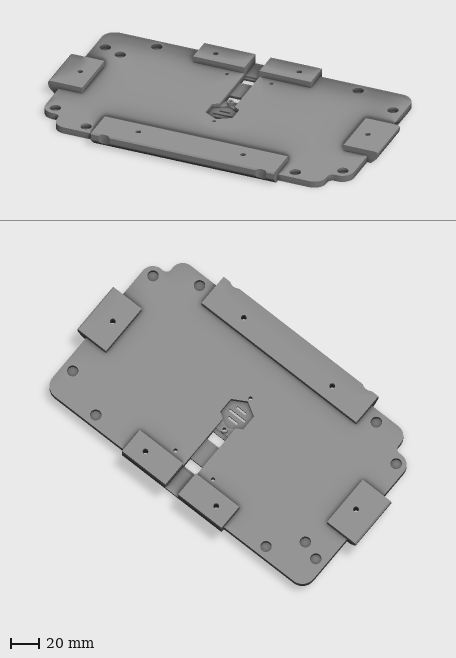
import cadquery as cq

plate_length = 236.0
plate_width = 135.0
plate_thickness = 5.0
back_corner_radius = 10.0
front_corner_radius = 9.0
notch_size = 15.0
notch_inner_radius = 4.0

block_top = 10.0
overall_length = 252.0
side_block_depth = 26.0
side_block_width = 40.0
side_bevel = 5.0
side_bevel_blend = 5.0
front_block_width = 140.0
front_block_depth = 25.0
front_block_overhang = 7.3
front_bevel = 4.0
front_bevel_blend = 3.0
back_block_width = 90.0
back_block_depth = 20.0
back_block_overhang = 2.7
top_chamfer = 1.0

relief_spacing = 120.0
relief_radius = 6.0
relief_depth = 1.6

screw_diameter = 4.0
side_screw_x = 110.0
end_screw_y = 60.0
front_screw_x = 40.0
back_screw_x = 32.0

magnet_diameter = 8.0
magnet_depth = 3.5
magnet_x = 110.0
magnet_y = 45.0
back_magnet_x = 77.0
front_magnet_x = 80.0
end_magnet_y = 60.0
extra_magnet = (-96.5, 40.0)

channel_width = 11.5
end_channel_floor = 2.5
middle_channel_floor = 2.0
ledge_floor = 1.5
back_ledge_y = 51.6
back_window_y = (42.0, 49.4)
front_window_y = (16.6, 23.6)
front_ledge_y = 13.6

hexagon_radius = 12.0
hexagon_y = -3.0
hexagon_floor = 1.5
slot_height = 1.8
slot_pitch = 4.7
short_slot = 8.4
long_slot = 14.4

pilot_diameter = 2.8
pilot_x = 17.0
back_pilot_y = 45.0
front_pilot_y = -18.0
boss_diameter = 5.0
boss_y = 11.3

half_length = plate_length / 2
half_width = plate_width / 2
front_face_y = -half_width - front_block_overhang
back_face_y = half_width + back_block_overhang


def box(x_range, y_range, z_range):
    """Axis-aligned box between pairs of limits."""
    size = [high - low for low, high in (x_range, y_range, z_range)]
    corner = (x_range[0], y_range[0], z_range[0])
    return cq.Workplane("XY").box(*size, centered=False).translate(corner)


def cylinder(diameter, bottom, top, points):
    """Upright cylinders at the given points."""
    plane = cq.Workplane("XY").workplane(offset=bottom)
    return plane.pushPoints(points).circle(diameter / 2).extrude(top - bottom)


def make_plate():
    """Plate with rounded corners and a stepped notch at both front corners."""
    plate = box((-half_length, half_length), (-half_width, half_width), (0, plate_thickness))
    plate = plate.edges("|Z and >Y").fillet(back_corner_radius)
    inner_x = half_length - notch_size
    inner_y = half_width - notch_size
    for side in (-1, 1):
        x_range = sorted((side * inner_x, side * half_length))
        plate = plate.cut(box(x_range, (-half_width, -inner_y), (0, plate_thickness)))
    inner_corners = [(side * inner_x, -inner_y) for side in (-1, 1)]
    outer_corners = [(side * half_length, -inner_y) for side in (-1, 1)]
    outer_corners += [(side * inner_x, -half_width) for side in (-1, 1)]
    for corners, radius in ((inner_corners, notch_inner_radius), (outer_corners, front_corner_radius)):
        for x, y in corners:
            nearest = cq.selectors.NearestToPointSelector((x, y, plate_thickness / 2))
            plate = plate.edges("|Z").edges(nearest).fillet(radius)
    return plate


def bevelled_block(width, depth, overhang, bevel, blend):
    """Block centred on X that laps over the plate rim at Y = 0 and overhangs toward -Y.

    The lower outer edge is bevelled and blended into the outer face,
    and the upper outer edge is chamfered.
    """
    half = width / 2
    block = box((-half, half), (-overhang, depth - overhang), (0, block_top))
    block = block.edges("<Y and <Z").chamfer(bevel)
    blend_edge = cq.selectors.NearestToPointSelector((0, -overhang, bevel))
    block = block.edges("|X").edges(blend_edge).fillet(blend)
    return block.edges("<Y and >Z").chamfer(top_chamfer)


def make_front_block():
    """Front block with two shallow relief grooves in its outer face."""
    block = bevelled_block(
        front_block_width, front_block_depth, front_block_overhang, front_bevel, front_bevel_blend
    ).translate((0, -half_width, 0))
    relief_y = front_face_y + relief_depth - relief_radius
    relief_points = [(side * relief_spacing / 2, relief_y) for side in (-1, 1)]
    return block.cut(cylinder(2 * relief_radius, 0, block_top, relief_points))


def make_side_blocks():
    """Matching bevelled blocks at both ends of the plate."""
    overhang = (overall_length - plate_length) / 2
    block = bevelled_block(side_block_width, side_block_depth, overhang, side_bevel, side_bevel_blend)
    right = block.rotate((0, 0, 0), (0, 0, 1), 90).translate((half_length, 0, 0))
    return right.union(right.mirror("YZ"))


def make_back_block():
    """Plain block along the back edge."""
    half = back_block_width / 2
    return box((-half, half), (back_face_y - back_block_depth, back_face_y), (0, block_top))


def screw_holes():
    """Through holes in every block."""
    points = []
    for side in (-1, 1):
        points.append((side * side_screw_x, 0))
        points.append((side * front_screw_x, -end_screw_y))
        points.append((side * back_screw_x, end_screw_y))
    return cylinder(screw_diameter, 0, block_top, points)


def magnet_pockets():
    """Blind pockets along the plate rim plus one extra near the back left corner."""
    points = [extra_magnet]
    for side in (-1, 1):
        points.append((side * magnet_x, magnet_y))
        points.append((side * magnet_x, -magnet_y))
        points.append((side * back_magnet_x, end_magnet_y))
        points.append((side * front_magnet_x, -end_magnet_y))
    return cylinder(magnet_diameter, plate_thickness - magnet_depth, plate_thickness, points)


def strap_channel():
    """Channel of stepped depth, listed from the front end to the back edge."""
    half = channel_width / 2
    stretches = (
        (hexagon_y, front_ledge_y, end_channel_floor),
        (front_ledge_y, front_window_y[0], ledge_floor),
        (*front_window_y, 0),
        (front_window_y[1], back_window_y[0], middle_channel_floor),
        (*back_window_y, 0),
        (back_window_y[1], back_ledge_y, ledge_floor),
        (back_ledge_y, back_face_y, end_channel_floor),
    )
    channel = cq.Workplane("XY")
    for front_y, back_y, floor in stretches:
        channel = channel.union(box((-half, half), (front_y, back_y), (floor, block_top)))
    return channel


def hexagon_recess():
    """Hexagonal recess, pointed along Y, with three slots through its floor."""
    plane = cq.Workplane("XY").center(0, hexagon_y)
    recess = (
        plane.workplane(offset=hexagon_floor)
        .transformed(rotate=(0, 0, 90))
        .polygon(6, 2 * hexagon_radius)
        .extrude(plate_thickness - hexagon_floor)
    )
    for row, length in ((-1, short_slot), (0, long_slot), (1, short_slot)):
        slot = plane.center(0, row * slot_pitch).rect(length, slot_height).extrude(plate_thickness)
        recess = recess.union(slot)
    return recess


def pilot_holes():
    """Small through holes around the channel and through the boss."""
    points = [(-pilot_x, back_pilot_y), (pilot_x, back_pilot_y), (0, front_pilot_y), (0, boss_y)]
    return cylinder(pilot_diameter, 0, plate_thickness, points)


boss = cylinder(boss_diameter, 0, plate_thickness, [(0, boss_y)])

result = make_plate()
for block in (make_front_block(), make_side_blocks(), make_back_block()):
    result = result.union(block)
result = result.cut(screw_holes()).cut(magnet_pockets())
result = result.cut(strap_channel()).cut(hexagon_recess())
result = result.union(boss).cut(pilot_holes())